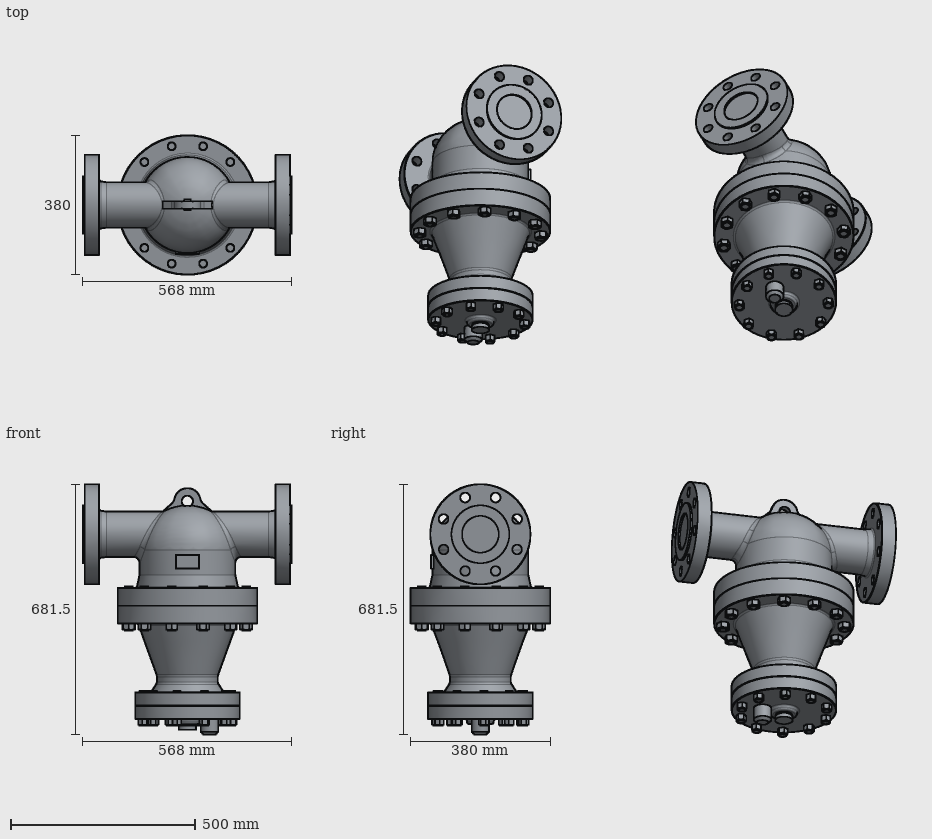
import cadquery as cq
import math


face_to_face = 568.0
nozzle_flange_diameter = 273.0
nozzle_flange_thickness = 40.0
nozzle_flange_chamfer = 1.5
raised_face_diameter = 157.2
raised_face_height = 5.0
pipe_diameter = 124.0
hub_diameter = 130.0
hub_length = 19.0
hub_fillet = 4.0
bore_diameter = 100.0
bore_depth = 5.0
nozzle_bolt_circle = 216.0
nozzle_bolt_hole_diameter = 26.0
nozzle_bolt_count = 8
nozzle_body_fillet = 15.0

dome_top_z = 78.5
dome_base_z = -41.5
body_diameter = 261.0
skirt_top_z = -110.0
skirt_bottom_radius = 138.0
skirt_fillet = 4.5

main_flange_diameter = 380.0
main_flange_top_z = -145.0
main_flange_thickness = 49.0
main_flange_chamfer = 1.5
main_joint_chamfer = 0.5
main_bolt_circle = 330.0
main_bolt_count = 12
main_bolt_phase = 15.0
main_stud_diameter = 22.0
main_nut_width = 30.0

reducer_top_radius = 134.0
reducer_top_fillet = 6.0
neck_diameter = 166.0
neck_top_z = -384.0
neck_bottom_z = -404.0
neck_top_blend = 20.0
neck_bottom_blend = 12.0
foot_bottom_radius = 98.8
foot_fillet = 6.0

cover_diameter = 285.0
cover_top_z = -429.0
cover_thickness = 36.5
cover_chamfer = 1.5
cover_joint_chamfer = 1.0
cover_bolt_circle = 242.0
cover_bolt_count = 10
cover_bolt_phase = 4.5
cover_stud_diameter = 20.0
cover_nut_width = 24.0

stud_top_projection = 4.0
stud_bottom_projection = 2.5
stud_chamfer = 0.8
nut_height = 16.0
nut_chamfer = 1.5
nut_twist = 15.0

boss_diameter = 48.0
boss_end_z = -531.5
boss_neck_diameter = 45.0
boss_head_height = 12.0
boss_base_diameter = 73.0
boss_base_height = 13.5
boss_base_fillet = 6.0
plug_diameter = 48.0
plug_offset_x = 60.0
plug_end_z = -545.0
plug_chamfer = 8.5

lug_thickness = 20.0
lug_hole_diameter = 30.0
lug_hole_length = 30.0
lug_hole_z = 89.5
lug_radius = 36.0
lug_foot_half_width = 67.0
lug_foot_z = 62.0
lug_root_fillet = 28.0

plate_width = 64.0
plate_height = 38.0
plate_center_z = -75.0
plate_face_y = -134.5
plate_chamfer = 1.5

main_flange_bottom_z = main_flange_top_z - 2 * main_flange_thickness
cover_bottom_z = cover_top_z - 2 * cover_thickness
body_radius = body_diameter / 2
face_x = face_to_face / 2

pick_tolerance = 0.1
pick_margin = 1.0


def disc(diameter, top_z, thickness):
    return cq.Workplane("XY", origin=(0, 0, top_z)).circle(diameter / 2).extrude(-thickness)


def at_level(z, reach):
    """Selects edges lying at height z and within reach of the body axis."""
    return cq.selectors.BoxSelector((-reach, -reach, z - pick_tolerance), (reach, reach, z + pick_tolerance), True)


def revolve_profile(profile):
    return profile.close().revolve(360, (0, 0, 0), (0, 1, 0))


def upper_body():
    """Half-ellipsoid dome on a cylinder that flares out to the main flange."""
    profile = (
        cq.Workplane("XZ")
        .moveTo(0, main_flange_top_z)
        .lineTo(skirt_bottom_radius, main_flange_top_z)
        .lineTo(body_radius, skirt_top_z)
        .lineTo(body_radius, dome_base_z)
        .ellipseArc(body_radius, dome_top_z - dome_base_z, 0, 90, startAtCurrent=True)
    )
    return revolve_profile(profile)


def nozzle_pipes():
    return cq.Workplane("YZ", origin=(-face_x, 0, 0)).circle(pipe_diameter / 2).extrude(face_to_face)


def dome_with_pipes():
    """Upper body and pipes, blended along the curves where they cross."""
    joined = upper_body().union(nozzle_pipes())
    reach_x = body_radius + pick_margin
    crossing = cq.selectors.BoxSelector(
        (-reach_x, -pipe_diameter, -pipe_diameter), (reach_x, pipe_diameter, pipe_diameter)
    )
    return joined.edges(crossing).edges("not %CIRCLE").fillet(nozzle_body_fillet)


def nozzle_flange():
    """Inlet flange with raised face and tapered hub, at the -X end."""
    back_x = -face_x + raised_face_height + nozzle_flange_thickness
    hub = (
        cq.Workplane("YZ", origin=(back_x, 0, 0))
        .circle(hub_diameter / 2)
        .workplane(offset=hub_length)
        .circle(pipe_diameter / 2)
        .loft(ruled=True)
    )
    flange = (
        cq.Workplane("YZ", origin=(back_x, 0, 0))
        .circle(nozzle_flange_diameter / 2)
        .extrude(-nozzle_flange_thickness)
        .faces(">X")
        .chamfer(nozzle_flange_chamfer)
        .union(hub)
    )
    root = cq.selectors.BoxSelector(
        (back_x - pick_tolerance, -hub_diameter, -hub_diameter),
        (back_x + pick_tolerance, hub_diameter, hub_diameter),
        True,
    )
    flange = flange.edges(root).edges(cq.selectors.RadiusNthSelector(0)).fillet(hub_fillet)
    raised_face = (
        cq.Workplane("YZ", origin=(-face_x, 0, 0))
        .circle(raised_face_diameter / 2)
        .extrude(raised_face_height)
    )
    return flange.union(raised_face)


def nozzle_cuts():
    """Bolt holes and bore recess of the -X nozzle."""
    holes = (
        cq.Workplane("YZ", origin=(-face_x, 0, 0))
        .polarArray(nozzle_bolt_circle / 2, 180 / nozzle_bolt_count, 360, nozzle_bolt_count)
        .circle(nozzle_bolt_hole_diameter / 2)
        .extrude(raised_face_height + nozzle_flange_thickness)
    )
    bore = cq.Workplane("YZ", origin=(-face_x, 0, 0)).circle(bore_diameter / 2).extrude(bore_depth)
    return holes.union(bore)


def flange_pair(diameter, top_z, thickness, chamfer, joint_chamfer):
    """Two equal discs face to face, with a fine V-groove at the joint."""
    upper = disc(diameter, top_z, thickness)
    upper = upper.faces(">Z").chamfer(chamfer).faces("<Z").chamfer(joint_chamfer)
    lower = disc(diameter, top_z - thickness, thickness)
    lower = lower.faces("<Z").chamfer(chamfer).faces(">Z").chamfer(joint_chamfer)
    return upper.union(lower)


def reducer():
    """Cone, neck and flared foot between the two flange pairs."""
    profile = (
        cq.Workplane("XZ")
        .moveTo(0, cover_top_z)
        .lineTo(foot_bottom_radius, cover_top_z)
        .lineTo(neck_diameter / 2, neck_bottom_z)
        .lineTo(neck_diameter / 2, neck_top_z)
        .lineTo(reducer_top_radius, main_flange_bottom_z)
        .lineTo(0, main_flange_bottom_z)
    )
    solid = revolve_profile(profile)
    solid = solid.edges(at_level(neck_top_z, neck_diameter)).fillet(neck_top_blend)
    return solid.edges(at_level(neck_bottom_z, neck_diameter)).fillet(neck_bottom_blend)


def fastener(top_z, bottom_z, stud_diameter, nut_width):
    """Stud through a flange pair with a hexagon nut below, on the Z axis."""
    stud_top_z = top_z + stud_top_projection
    stud_length = stud_top_z - bottom_z + nut_height + stud_bottom_projection
    stud = disc(stud_diameter, stud_top_z, stud_length).faces(">Z").chamfer(stud_chamfer)
    corner_diameter = nut_width / math.cos(math.pi / 6)
    nut = (
        cq.Workplane("XY", origin=(0, 0, bottom_z))
        .transformed(rotate=(0, 0, nut_twist))
        .polygon(6, corner_diameter)
        .extrude(-nut_height)
    )
    rounding = disc(corner_diameter, bottom_z, nut_height).faces("<Z").chamfer(nut_chamfer)
    return stud.union(nut.intersect(rounding))


def fasteners(bolt, bolt_circle, count, phase):
    """Copies of one fastener spaced evenly around the body axis."""
    at_radius = bolt.translate((bolt_circle / 2, 0, 0))
    return [at_radius.rotate((0, 0, 0), (0, 0, 1), phase + 360 / count * i) for i in range(count)]


def drain_boss():
    """Central boss under the cover: rounded base, short neck and a round head."""
    base = disc(boss_base_diameter, cover_bottom_z, boss_base_height)
    base = base.faces("<Z").edges().fillet(boss_base_fillet)
    neck = disc(boss_neck_diameter, cover_bottom_z, cover_bottom_z - boss_end_z)
    head = disc(boss_diameter, boss_end_z + boss_head_height, boss_head_height)
    return base.union(neck).union(head)


def drain_plug():
    plug = disc(plug_diameter, cover_bottom_z, cover_bottom_z - plug_end_z)
    return plug.faces("<Z").chamfer(plug_chamfer).translate((plug_offset_x, 0, 0))


def lifting_lug():
    """Eye plate standing on the dome."""
    outline = (
        cq.Workplane("XZ", origin=(0, lug_thickness / 2, 0))
        .moveTo(-lug_foot_half_width, 0)
        .lineTo(-lug_foot_half_width, lug_foot_z)
        .lineTo(-lug_radius, lug_hole_z)
        .threePointArc((0, lug_hole_z + lug_radius), (lug_radius, lug_hole_z))
        .lineTo(lug_foot_half_width, lug_foot_z)
        .lineTo(lug_foot_half_width, 0)
        .close()
        .extrude(lug_thickness)
    )
    root = cq.selectors.BoxSelector(
        (-lug_radius - pick_margin, -lug_thickness, lug_hole_z - pick_margin),
        (lug_radius + pick_margin, lug_thickness, lug_hole_z + pick_margin),
    )
    return outline.edges("|Y").edges(root).fillet(lug_root_fillet)


def lug_hole():
    """Short bore through the lug that also grazes the top of the dome."""
    return (
        cq.Workplane("XZ", origin=(0, lug_hole_length / 2, lug_hole_z))
        .circle(lug_hole_diameter / 2)
        .extrude(lug_hole_length)
    )


def name_plate():
    plate = (
        cq.Workplane("XZ", origin=(0, plate_face_y, plate_center_z))
        .rect(plate_width, plate_height)
        .extrude(plate_face_y + body_radius / 2)
    )
    return plate.faces("<Y").chamfer(plate_chamfer)


def add_root_fillets(part):
    """Fillets where the skirt, reducer, foot and drain boss meet the flanges."""
    roots = [
        (main_flange_top_z, skirt_bottom_radius, skirt_fillet),
        (main_flange_bottom_z, reducer_top_radius, reducer_top_fillet),
        (cover_top_z, foot_bottom_radius, foot_fillet),
        (cover_bottom_z, boss_base_diameter / 2, boss_base_fillet),
    ]
    for z, radius, fillet in roots:
        part = part.edges(at_level(z, radius + pick_margin)).fillet(fillet)
    return part


body = dome_with_pipes()
body = body.union(lifting_lug()).cut(lug_hole()).union(name_plate())

inlet = nozzle_flange()
inlet_cuts = nozzle_cuts()
body = body.union(inlet).union(inlet.mirror("YZ"))
body = body.cut(inlet_cuts).cut(inlet_cuts.mirror("YZ"))

main_flanges = flange_pair(
    main_flange_diameter, main_flange_top_z, main_flange_thickness, main_flange_chamfer, main_joint_chamfer
)
cover_flanges = flange_pair(cover_diameter, cover_top_z, cover_thickness, cover_chamfer, cover_joint_chamfer)
lower_body = reducer().union(main_flanges).union(cover_flanges).union(drain_boss())
result = body.union(lower_body, clean=False)
result = add_root_fillets(result)

main_bolt = fastener(main_flange_top_z, main_flange_bottom_z, main_stud_diameter, main_nut_width)
cover_bolt = fastener(cover_top_z, cover_bottom_z, cover_stud_diameter, cover_nut_width)
bolting = fasteners(main_bolt, main_bolt_circle, main_bolt_count, main_bolt_phase)
bolting += fasteners(cover_bolt, cover_bolt_circle, cover_bolt_count, cover_bolt_phase)
for item in [drain_plug()] + bolting:
    result = result.union(item, clean=False)